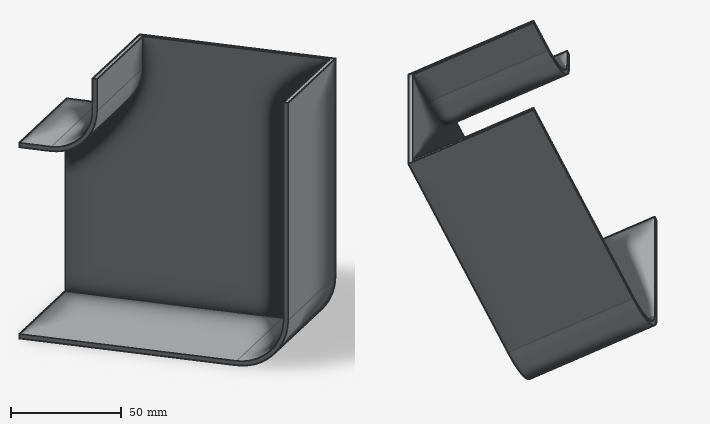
import cadquery as cq

size = 129.4
depth = 62.8
wall = 2.2
notch = 35.2
notch_radius = 20.0
outer_radius = 25.0


def elbow_prism(left, bottom, right, top, notch_x, notch_z, inner_bend, outer_bend, length):
    """L-shaped elbow with both bends rounded, extruded from the front toward the back."""
    profile = (
        cq.Workplane("XZ")
        .moveTo(left, bottom)
        .lineTo(right - outer_bend, bottom)
        .radiusArc((right, bottom + outer_bend), -outer_bend)
        .lineTo(right, top)
        .lineTo(notch_x, top)
        .lineTo(notch_x, notch_z + inner_bend)
        .radiusArc((notch_x - inner_bend, notch_z), inner_bend)
        .lineTo(left, notch_z)
        .close()
    )
    return profile.extrude(-length)


body = elbow_prism(
    0, 0, size, size, notch, size - notch, notch_radius, outer_radius, depth
)

cavity = elbow_prism(
    0, wall, size - wall, size,
    notch + wall, size - notch - wall,
    notch_radius + wall, outer_radius - wall,
    depth - wall,
)

result = body.cut(cavity)